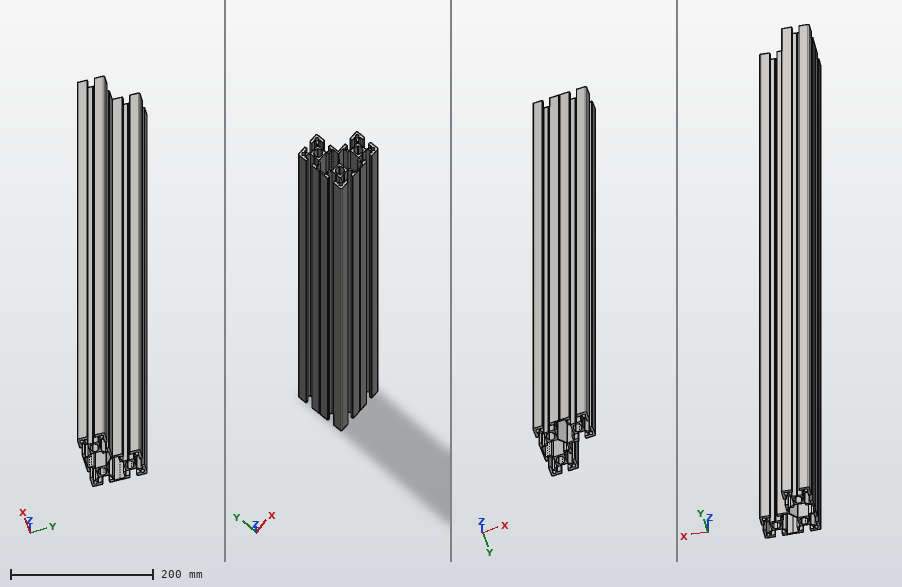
import cadquery as cq
import math

length = 1000.0
cell = 40.0
size = 2 * cell
half_cell = cell / 2
outer_corner_radius = 2.0

slot_opening = 10.0
mouth_chamfer_width = 0.6
mouth_chamfer_depth = 1.0
lip_thickness = 4.0
slot_inner_width = 21.0
slot_shoulder_depth = 7.0
slot_depth = 12.0
slot_floor_width = 15.0

groove_width = 2.0
groove_depth = 0.5

bore_diameter = 12.0
bore_square = 9.0

corner_hole_diameter = 5.0
corner_hole_inset = 5.5

core_width = cell - 2 * slot_depth
outer_wall = 2.0
inner_wall = 2.5
diagonal_web = 1.0
shelf_height = 8.0
shelf_slope_run = 1.0

near = half_cell
far = cell + half_cell
core_centers = [(near, near), (far, near), (near, far)]

UP, LEFT, DOWN, RIGHT = 0, 90, 180, 270
slot_sides = [(LEFT, DOWN), (UP, DOWN, RIGHT), (UP, LEFT, RIGHT)]


def prism(points):
    """Full-length solid over a closed outline."""
    return cq.Workplane("XY").polyline(points).close().extrude(length)


def mirrored_pair(points):
    """Full-length solids over an outline and its mirror image in the line Y = X."""
    swapped = [(y, x) for x, y in points]
    return [prism(points), prism(swapped)]


def outer_body():
    """L-shaped bar with all corners rounded except the re-entrant one."""
    outline = [(0, 0), (size, 0), (size, cell), (cell, cell), (cell, size), (0, size)]
    body = prism(outline)
    return body.edges("|Z").edges("<X or >X or >Y or <Y").fillet(outer_corner_radius)


def t_slot(center, turn):
    """T-slot with a grooved floor on one side of the cell around center."""
    face = half_cell
    floor = face - slot_depth
    half_opening = slot_opening / 2
    half_inner = slot_inner_width / 2
    right_side = [
        (half_opening + mouth_chamfer_width, face),
        (half_opening, face - mouth_chamfer_depth),
        (half_opening, face - lip_thickness),
        (half_inner, face - lip_thickness),
        (half_inner, face - slot_shoulder_depth),
        (slot_floor_width / 2, floor),
        (groove_width / 2, floor),
    ]
    groove_bottom = (0, floor - groove_depth)
    left_side = [(-x, y) for x, y in reversed(right_side)]
    slot = prism(right_side + [groove_bottom] + left_side)
    return slot.rotate((0, 0, 0), (0, 0, 1), turn).translate((*center, 0))


def hollows():
    """Hollow between the corner core and the upper core, and its mirror image."""
    wall_left = outer_wall
    wall_right = cell - inner_wall
    core_left = near - core_width / 2
    core_right = near + core_width / 2
    lower_core_top = near + core_width / 2
    upper_core_bottom = far - core_width / 2
    shelf_low = cell - shelf_height
    shelf_high = cell + shelf_height
    diagonal_offset = diagonal_web / math.sqrt(2)
    outline = [
        (wall_left, shelf_low),
        (core_left - shelf_slope_run, shelf_low),
        (core_left, lower_core_top),
        (core_right - diagonal_offset, lower_core_top),
        (wall_right, wall_right + diagonal_offset),
        (wall_right, shelf_high),
        (core_right + shelf_slope_run, shelf_high),
        (core_right, upper_core_bottom),
        (core_left, upper_core_bottom),
        (core_left - shelf_slope_run, shelf_high),
        (wall_left, shelf_high),
    ]
    return mirrored_pair(outline)


def wall_grooves():
    """V-grooves along the middle of the two wide outer faces."""
    half_width = groove_width / 2
    return mirrored_pair([(cell - half_width, 0), (cell, groove_depth), (cell + half_width, 0)])


def core_bores():
    """Through bores of the three cores."""
    cores = cq.Workplane("XY").pushPoints(core_centers)
    rounds = cores.circle(bore_diameter / 2).extrude(length)
    squares = cores.rect(bore_square, bore_square).extrude(length)
    return [rounds, squares]


def corner_holes():
    """Through holes in the five outer corners of the L."""
    inset = corner_hole_inset
    centers = [
        (inset, inset),
        (size - inset, inset),
        (size - inset, cell - inset),
        (cell - inset, size - inset),
        (inset, size - inset),
    ]
    return cq.Workplane("XY").pushPoints(centers).circle(corner_hole_diameter / 2).extrude(length)


slots = [t_slot(center, side) for center, sides in zip(core_centers, slot_sides) for side in sides]

result = outer_body()
for cutter in slots + hollows() + wall_grooves() + core_bores() + [corner_holes()]:
    result = result.cut(cutter)